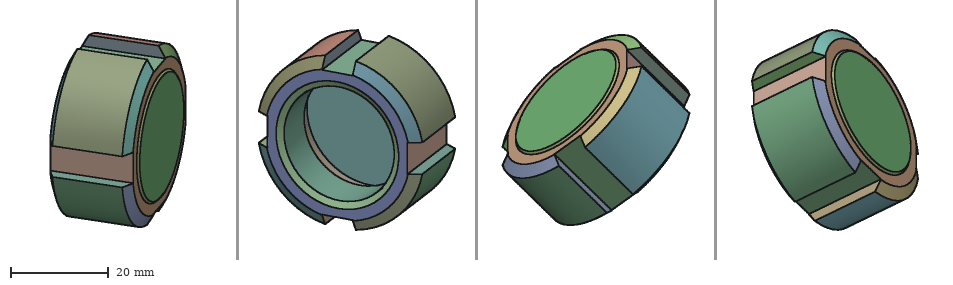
import cadquery as cq
import math

slot_span = 37.35
slot_width = 7.0
slot_floor_radius = 16.0
outer_radius = math.hypot(slot_span / 2, slot_width / 2)
total_length = 18.5
boss_height = 0.5
body_length = total_length - boss_height

bevel_depth = 2.5
bevel_length = bevel_depth * math.tan(math.radians(30))
face_radius = outer_radius - bevel_depth

bore_radius = 25.15 / 2
mouth_radius = 27.98 / 2
mouth_depth = (mouth_radius - bore_radius) * math.tan(math.radians(30))
relief_radius = 28.8 / 2
relief_start = 10.0
bore_depth = 15.0
boss_base_radius = 13.95
boss_top_radius = boss_base_radius - boss_height


def make_body():
    """Revolve the bevelled, blind-bored half section about X."""
    return (
        cq.Workplane("XY")
        .moveTo(0, mouth_radius)
        .lineTo(0, face_radius)
        .lineTo(bevel_length, outer_radius)
        .lineTo(body_length - bevel_length, outer_radius)
        .lineTo(body_length, face_radius)
        .lineTo(body_length, boss_base_radius)
        .lineTo(total_length, boss_top_radius)
        .lineTo(total_length, 0)
        .lineTo(bore_depth, 0)
        .lineTo(bore_depth, relief_radius)
        .lineTo(relief_start, relief_radius)
        .lineTo(relief_start, bore_radius)
        .lineTo(mouth_depth, bore_radius)
        .close()
        .revolve(360, (0, 0, 0), (1, 0, 0))
    )


def cut_slots(body):
    """Cut four flat-floored spanner slots along the full body length."""
    slot_count = 4
    slot_height = outer_radius
    slot = cq.Workplane("XY").box(
        body_length, slot_width, slot_height, centered=(False, True, False)
    ).translate((0, 0, slot_floor_radius))
    for index in range(slot_count):
        angle = index * 360 / slot_count
        body = body.cut(slot.rotate((0, 0, 0), (1, 0, 0), angle))
    return body


result = cut_slots(make_body()).translate((-total_length / 2, 0, 0))